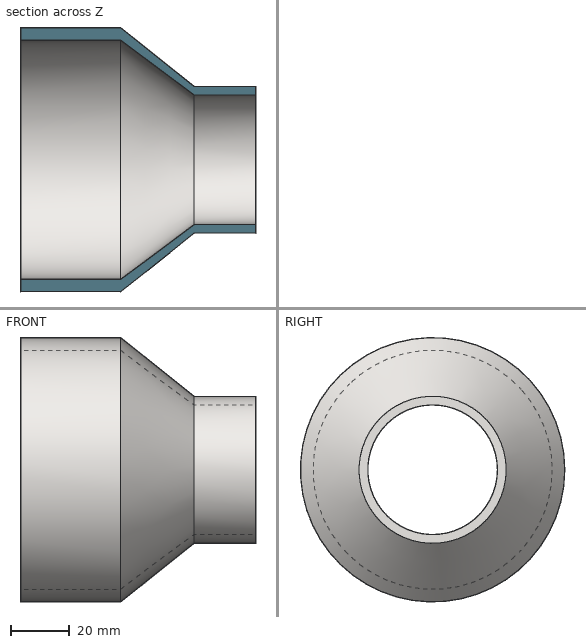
import cadquery as cq

large_outer_diameter = 90.0
large_bore_diameter = 81.4
small_outer_diameter = 50.0
small_bore_diameter = 44.0

total_length = 80.0
large_length = 34.0
small_length = 21.0
cone_end = total_length - small_length


def stepped_cone(large_diameter, small_diameter):
    """Solid of revolution about X: wide cylinder, cone, narrow cylinder."""
    large_radius = large_diameter / 2
    small_radius = small_diameter / 2
    return (
        cq.Workplane("XY")
        .moveTo(0, 0)
        .lineTo(0, large_radius)
        .lineTo(large_length, large_radius)
        .lineTo(cone_end, small_radius)
        .lineTo(total_length, small_radius)
        .lineTo(total_length, 0)
        .close()
        .revolve(360, (0, 0, 0), (1, 0, 0))
    )


body = stepped_cone(large_outer_diameter, small_outer_diameter)
bore = stepped_cone(large_bore_diameter, small_bore_diameter)
result = body.cut(bore)